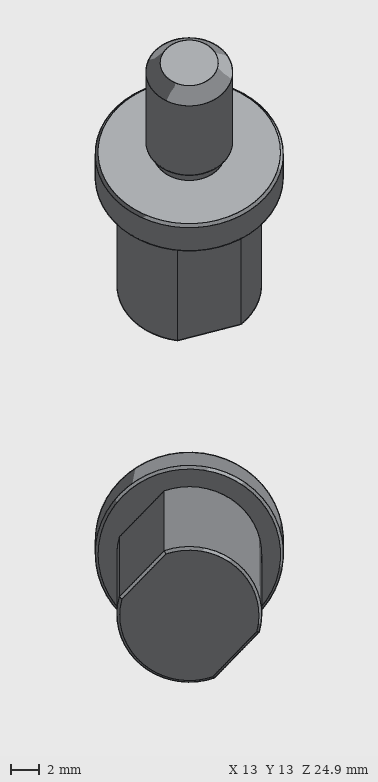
import cadquery as cq

total_height = 24.9
shank_length = 11.98
flange_thickness = 3.0
neck_length = 1.0

shank_diameter = 10.0
shank_across_flats = 8.9
flange_diameter = 13.0
neck_diameter = 5.0
stud_diameter = 6.0

edge_chamfer = 0.2
tip_chamfer = 1.0

flange_top = shank_length + flange_thickness
stud_bottom = flange_top + neck_length
stud_length = total_height - stud_bottom


def cylinder(diameter, bottom, length):
    """Cylinder on the Z axis, starting at height bottom."""
    return cq.Workplane("XY").workplane(offset=bottom).circle(diameter / 2).extrude(length)


flats = cq.Workplane("XY").box(
    shank_across_flats, shank_diameter, shank_length, centered=(True, True, False)
)
shank = cylinder(shank_diameter, 0, shank_length).intersect(flats)
shank = shank.faces("<Z").edges().chamfer(edge_chamfer)

flange = cylinder(flange_diameter, shank_length, flange_thickness)
flange = flange.faces("<Z or >Z").edges().chamfer(edge_chamfer)

neck = cylinder(neck_diameter, flange_top, neck_length)

stud = cylinder(stud_diameter, stud_bottom, stud_length)
stud = stud.faces(">Z").edges().chamfer(tip_chamfer)
stud = stud.faces("<Z").edges().chamfer(edge_chamfer)

result = shank.union(flange).union(neck).union(stud)